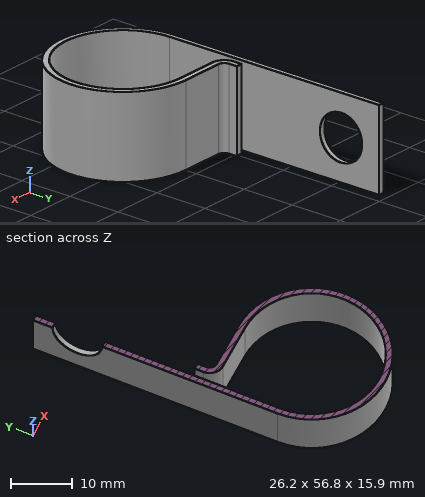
import cadquery as cq
import math

length = 56.75
width = 15.9
thickness = 1.2

outer_radius = 13.1
inner_radius = outer_radius - thickness
arm_end = length - outer_radius

lip_gap = 1.2
lip_height = 2.85
lip_inner_radius = 1.2
lip_outer_radius = lip_inner_radius + thickness
lip_left = -inner_radius + lip_gap
lip_right = lip_left + thickness
lip_end = outer_radius + lip_height
bend_x = lip_right + lip_inner_radius
bend_y = outer_radius + lip_inner_radius

hole_diameter = 8.75
hole_from_end = width / 2

diagonal = math.sqrt(0.5)


def make_strip():
    """Extrude the bent strip, with its width centred on Z = 0."""
    outer_middle = outer_radius * diagonal
    inner_middle = inner_radius * diagonal
    lip_outer_middle = lip_outer_radius * diagonal
    lip_inner_middle = lip_inner_radius * diagonal
    return (
        cq.Workplane("XY")
        .workplane(offset=-width / 2)
        .moveTo(-outer_radius, arm_end)
        .lineTo(-outer_radius, 0)
        .threePointArc((outer_middle, -outer_middle), (0, outer_radius))
        .lineTo(bend_x, outer_radius)
        .threePointArc(
            (bend_x - lip_inner_middle, bend_y - lip_inner_middle),
            (lip_right, bend_y),
        )
        .lineTo(lip_right, lip_end)
        .lineTo(lip_left, lip_end)
        .lineTo(lip_left, bend_y)
        .threePointArc(
            (bend_x - lip_outer_middle, bend_y - lip_outer_middle),
            (bend_x, inner_radius),
        )
        .lineTo(0, inner_radius)
        .threePointArc((inner_middle, -inner_middle), (-inner_radius, 0))
        .lineTo(-inner_radius, arm_end)
        .close()
        .extrude(width)
    )


def make_hole():
    """Cylinder along X that passes through the arm only."""
    return (
        cq.Workplane("YZ")
        .workplane(offset=-outer_radius)
        .center(arm_end - hole_from_end, 0)
        .circle(hole_diameter / 2)
        .extrude(thickness)
    )


result = make_strip().cut(make_hole())